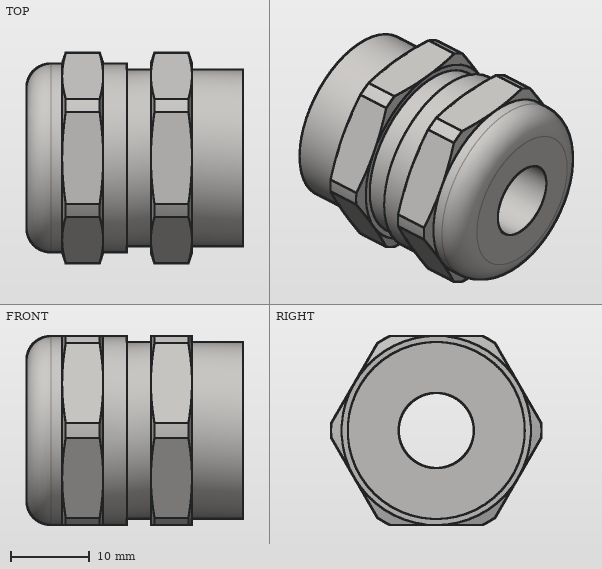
import cadquery as cq
import math

total_length = 27.5
bore_diameter = 9.5
body_diameter = 22.45

cap_diameter = 24.0
cap_length = 12.75
dome_radius = 3.15

hex_across_flats = 24.0
hex_across_corners = 26.7
hex_width = 5.2
cap_hex_start = 4.55
body_hex_start = 15.8
hex_chamfer_length = 0.45

x_start = -total_length / 2


def cylinder(start, length, diameter):
    """Cylinder along X whose -X face lies `start` from the -X end of the part."""
    plane = cq.Workplane("YZ", origin=(x_start + start, 0, 0))
    return plane.circle(diameter / 2).extrude(length)


def make_cap():
    """Cap with its outer -X edge rounded into a dome."""
    cap = cylinder(0, cap_length, cap_diameter)
    return cap.faces("<X").edges().fillet(dome_radius)


def make_hex(start):
    """Hexagon with truncated corners, coned down to the flats at both ends."""
    sharp_corners = hex_across_flats / math.cos(math.radians(30))
    plane = cq.Workplane("YZ", origin=(x_start + start, 0, 0))
    prism = plane.polygon(6, sharp_corners).extrude(hex_width)

    flat_radius = hex_across_flats / 2
    corner_radius = hex_across_corners / 2
    left = x_start + start
    right = left + hex_width
    envelope = (
        cq.Workplane("XY")
        .moveTo(left, 0)
        .lineTo(left, flat_radius)
        .lineTo(left + hex_chamfer_length, corner_radius)
        .lineTo(right - hex_chamfer_length, corner_radius)
        .lineTo(right, flat_radius)
        .lineTo(right, 0)
        .close()
        .revolve(360, (0, 0, 0), (1, 0, 0))
    )
    return prism.intersect(envelope)


body = cylinder(cap_length, total_length - cap_length, body_diameter)
result = body.union(make_cap())
for hex_start in (cap_hex_start, body_hex_start):
    result = result.union(make_hex(hex_start))
result = result.cut(cylinder(0, total_length, bore_diameter))